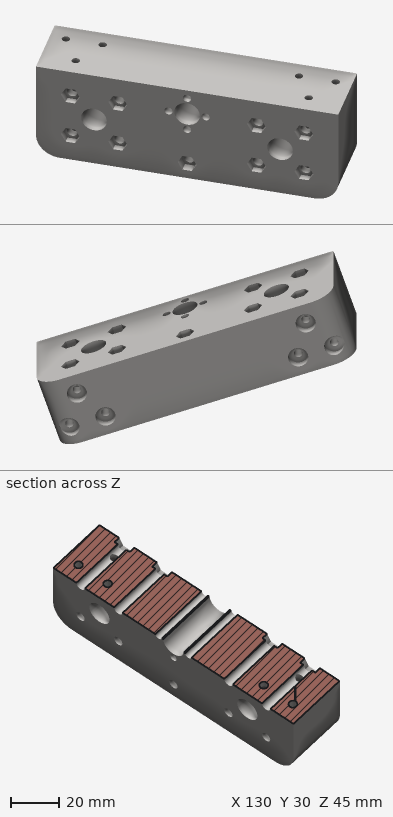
import cadquery as cq

LENGTH = 130.0
DEPTH = 30.0
HEIGHT = 45.0
CORNER_RADIUS = 10.0

BORE_DIAMETER = 11.0
SIDE_BORE_X = 40.0
SIDE_BORE_Z = HEIGHT / 2
BOLT_SQUARE_HALF = 10.2

BOLT_DIAMETER = 4.5
NUT_ACROSS_CORNERS = 8.1
NUT_POCKET_DEPTH = 3.0
LOWER_BOLT_Z = 7.5
LOWER_NUT_POCKET_DEPTH = 4.0

CENTRE_BORE_Z = 33.0
SCREW_DIAMETER = 3.5
SCREW_OFFSET = 8.0

TRIANGLE_CENTRE_X = 50.1
TRIANGLE_HALF_BASE = 7.9
TRIANGLE_FRONT_Y = 8.3
TRIANGLE_REAR_Y = TRIANGLE_FRONT_Y + TRIANGLE_HALF_BASE * 3 ** 0.5
COUNTERBORE_DIAMETER = 8.4
COUNTERBORE_DEPTH = 4.0

SIDES = (-1, 1)


def make_block():
    """Rectangular block with its two lower end corners rounded."""
    block = cq.Workplane("XY").box(LENGTH, DEPTH, HEIGHT, centered=(True, False, False))
    return block.edges("|Y and <Z").fillet(CORNER_RADIUS)


def front_plane():
    """Front face plane with local x along X and local y along Z; negative extrusion cuts inward."""
    return cq.Workplane("XZ")


def cross_holes(points, diameter):
    """Round holes running from the front face to the rear face."""
    return front_plane().pushPoints(points).circle(diameter / 2).extrude(-DEPTH)


def nut_pockets(points, pocket_depth):
    """Hexagonal pockets sunk into the front face, corners pointing along X."""
    return front_plane().pushPoints(points).polygon(6, NUT_ACROSS_CORNERS).extrude(-pocket_depth)


def side_bolt_points():
    """Corners of the bolt squares around the two side bores."""
    return [
        (side * SIDE_BORE_X + dx * BOLT_SQUARE_HALF, SIDE_BORE_Z + dz * BOLT_SQUARE_HALF)
        for side in SIDES
        for dx in SIDES
        for dz in SIDES
    ]


def centre_screw_points():
    """Four points above, below and beside the central bore."""
    return [
        (SCREW_OFFSET, CENTRE_BORE_Z),
        (-SCREW_OFFSET, CENTRE_BORE_Z),
        (0, CENTRE_BORE_Z + SCREW_OFFSET),
        (0, CENTRE_BORE_Z - SCREW_OFFSET),
    ]


def triangle_points():
    """Vertical screw positions: one in front and two behind at each end."""
    points = []
    for side in SIDES:
        centre_x = side * TRIANGLE_CENTRE_X
        points.append((centre_x, TRIANGLE_FRONT_Y))
        points.append((centre_x - TRIANGLE_HALF_BASE, TRIANGLE_REAR_Y))
        points.append((centre_x + TRIANGLE_HALF_BASE, TRIANGLE_REAR_Y))
    return points


def vertical_holes(diameter, height):
    """Round vertical holes rising from the underside to the given height."""
    return cq.Workplane("XY").pushPoints(triangle_points()).circle(diameter / 2).extrude(height)


bore_points = [(side * SIDE_BORE_X, SIDE_BORE_Z) for side in SIDES]
bore_points.append((0, CENTRE_BORE_Z))
lower_bolt_points = [(0, LOWER_BOLT_Z)]

result = (
    make_block()
    .cut(cross_holes(bore_points, BORE_DIAMETER))
    .cut(cross_holes(centre_screw_points(), SCREW_DIAMETER))
    .cut(cross_holes(side_bolt_points() + lower_bolt_points, BOLT_DIAMETER))
    .cut(nut_pockets(side_bolt_points(), NUT_POCKET_DEPTH))
    .cut(nut_pockets(lower_bolt_points, LOWER_NUT_POCKET_DEPTH))
    .cut(vertical_holes(SCREW_DIAMETER, HEIGHT))
    .cut(vertical_holes(COUNTERBORE_DIAMETER, COUNTERBORE_DEPTH))
)